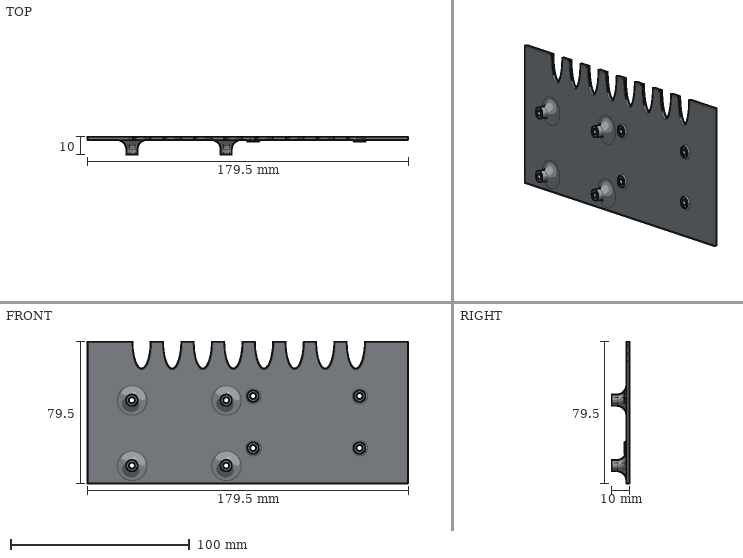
import cadquery as cq
import math

plate_length = 179.5
plate_height = 79.5
plate_thickness = 2.0
edge_round = 0.5

notch_count = 8
first_notch_x = 30.3
last_notch_x = 150.2
notch_pitch = (last_notch_x - first_notch_x) / (notch_count - 1)
notch_width = 10.0
notch_depth = 15.0

boss_diameter = 6.5
hole_diameter = 3.2

standoff_height = 8.0
standoff_flare = 5.0
standoff_x = 25.0
standoff_z = 10.0
standoff_spacing_x = 52.8
standoff_spacing_z = 36.6

pad_height = 1.0
pad_flare = pad_height
pad_x = 92.8
pad_z = 20.0
pad_spacing_x = 59.6
pad_spacing_z = 29.0


def grid(x, z, spacing_x, spacing_z):
    """Four corner points of a rectangular boss pattern."""
    return [(x + i * spacing_x, z + j * spacing_z) for i in range(2) for j in range(2)]


def make_plate():
    """Notched plate with its front face on Y = 0; corners, front and back outlines rounded."""
    plate = (
        cq.Workplane("XY")
        .box(plate_length, plate_thickness, plate_height, centered=False)
        .edges("|Y")
        .fillet(edge_round)
    )
    notch_points = [(first_notch_x + i * notch_pitch, plate_height) for i in range(notch_count)]
    notches = (
        cq.Workplane("XZ")
        .pushPoints(notch_points)
        .ellipse(notch_width / 2, notch_depth)
        .extrude(-plate_thickness)
    )
    return plate.cut(notches).faces("<Y or >Y").edges().fillet(edge_round)


def make_boss(height, flare):
    """Round boss growing from Y = 0 toward -Y, flared by a concave quarter round at the foot."""
    radius = boss_diameter / 2
    foot_radius = radius + flare
    mid_offset = flare * (1 - math.cos(math.radians(45)))
    profile = (
        cq.Workplane("XY")
        .lineTo(foot_radius, 0)
        .threePointArc((radius + mid_offset, -mid_offset), (radius, -flare))
    )
    if height > flare:
        profile = profile.lineTo(radius, -height)
    return profile.lineTo(0, -height).close().revolve(360, (0, 0), (0, 1))


def add_bosses(body, points, height, flare):
    """Join a boss at each (x, z) point and drill it through the plate."""
    boss = make_boss(height, flare)
    for x, z in points:
        body = body.union(boss.translate((x, 0, z)))
    holes = (
        cq.Workplane("XZ", origin=(0, plate_thickness, 0))
        .pushPoints(points)
        .circle(hole_diameter / 2)
        .extrude(plate_thickness + height)
    )
    return body.cut(holes)


standoff_points = grid(standoff_x, standoff_z, standoff_spacing_x, standoff_spacing_z)
pad_points = grid(pad_x, pad_z, pad_spacing_x, pad_spacing_z)

result = make_plate()
result = add_bosses(result, standoff_points, standoff_height, standoff_flare)
result = add_bosses(result, pad_points, pad_height, pad_flare)